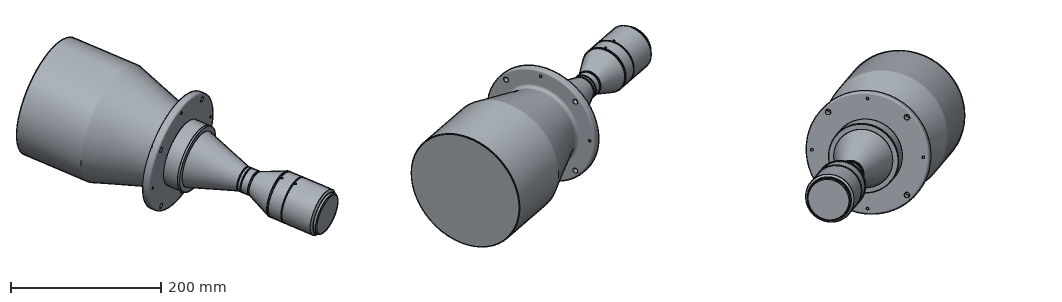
import cadquery as cq
import math

barrel_end = 100.3
rear_cone_end = 188.0
flange_start = 193.5
flange_end = 205.5
collar_end = 230.0
waist_start = 300.8
waist_end = 317.0
front_cone_start = 319.3
front_cone_end = 356.0
head_start = 358.0
head_end = 423.0
spigot_start = 425.5
total_length = 430.5

barrel_diameter = 169.0
barrel_radius = barrel_diameter / 2
rear_neck_radius = 57.0
flange_radius = barrel_radius
collar_radius = 47.8
middle_cone_radius = 40.5
waist_radius = 17.5
head_radius = 33.0
spigot_radius = 29.3

barrel_edge_chamfer = 1.0
flange_edge_fillet = 2.5
flange_root_fillet = 4.5
collar_lip_length = 3.0
collar_lip_step = 0.2
relief_depth = 1.0
spigot_chamfer = 1.5
groove_width = 1.5
groove_depth = 0.5
waist_groove_spacing = 5.0
waist_groove_starts = (waist_start, waist_start + waist_groove_spacing)
head_groove_start = 378.0

bolt_circle_radius = 76.0
bolt_hole_diameter = 7.5
pin_hole_diameter = 3.5
holes_per_set = 4
bolt_hole_start_angle = 45
pin_hole_start_angle = 0

screw_hole_diameter = 2.5
screw_hole_depth = 4.5
screw_stations = (360.5, 381.2)
screws_around = 3


def turned_body():
    """Revolve the stepped outline about the X axis."""
    return (
        cq.Workplane("XY")
        .moveTo(0, 0)
        .lineTo(0, barrel_radius - barrel_edge_chamfer)
        .lineTo(barrel_edge_chamfer, barrel_radius)
        .lineTo(barrel_end, barrel_radius)
        .lineTo(rear_cone_end, rear_neck_radius)
        .lineTo(flange_start - flange_root_fillet, rear_neck_radius)
        .radiusArc((flange_start, rear_neck_radius + flange_root_fillet), -flange_root_fillet)
        .lineTo(flange_start, flange_radius - flange_edge_fillet)
        .radiusArc((flange_start + flange_edge_fillet, flange_radius), flange_edge_fillet)
        .lineTo(flange_end - flange_edge_fillet, flange_radius)
        .radiusArc((flange_end, flange_radius - flange_edge_fillet), flange_edge_fillet)
        .lineTo(flange_end, collar_radius)
        .lineTo(collar_end - collar_lip_length, collar_radius)
        .lineTo(collar_end - collar_lip_length, collar_radius - collar_lip_step)
        .lineTo(collar_end, collar_radius - collar_lip_step)
        .lineTo(collar_end, middle_cone_radius)
        .lineTo(waist_start, waist_radius)
        .lineTo(waist_end, waist_radius)
        .lineTo(waist_end, waist_radius - relief_depth)
        .lineTo(front_cone_start, waist_radius - relief_depth)
        .lineTo(front_cone_start, waist_radius)
        .lineTo(front_cone_end, head_radius)
        .lineTo(front_cone_end, head_radius - relief_depth)
        .lineTo(head_start, head_radius - relief_depth)
        .lineTo(head_start, head_radius)
        .lineTo(head_end, head_radius)
        .lineTo(spigot_start, spigot_radius + relief_depth)
        .lineTo(spigot_start, spigot_radius)
        .lineTo(total_length - spigot_chamfer, spigot_radius)
        .lineTo(total_length, spigot_radius - spigot_chamfer)
        .lineTo(total_length, 0)
        .close()
        .revolve(360, (0, 0, 0), (1, 0, 0))
    )


def groove_ring(start, radius):
    """Ring that cuts a shallow groove into a cylinder of the given radius."""
    return (
        cq.Workplane("YZ", origin=(start, 0, 0))
        .circle(radius + groove_depth)
        .circle(radius - groove_depth)
        .extrude(groove_width)
    )


def flange_holes(diameter, start_angle):
    """One set of through holes equally spaced on the flange bolt circle."""
    return (
        cq.Workplane("YZ", origin=(flange_start, 0, 0))
        .polarArray(bolt_circle_radius, start_angle, 360, holes_per_set)
        .circle(diameter / 2)
        .extrude(flange_end - flange_start)
    )


def screw_hole(station, angle):
    """Blind radial hole in the head; angle is measured from +Y towards +Z."""
    direction = cq.Vector(0, math.cos(angle), math.sin(angle))
    floor = direction * (head_radius - screw_hole_depth) + cq.Vector(station, 0, 0)
    return cq.Solid.makeCylinder(screw_hole_diameter / 2, 2 * screw_hole_depth, floor, direction)


result = turned_body()

for start in waist_groove_starts:
    result = result.cut(groove_ring(start, waist_radius))
result = result.cut(groove_ring(head_groove_start, head_radius))

result = result.cut(flange_holes(bolt_hole_diameter, bolt_hole_start_angle))
result = result.cut(flange_holes(pin_hole_diameter, pin_hole_start_angle))

for station in screw_stations:
    for index in range(screws_around):
        angle = math.pi / 2 + index * 2 * math.pi / screws_around
        result = result.cut(cq.Workplane(obj=screw_hole(station, angle)))